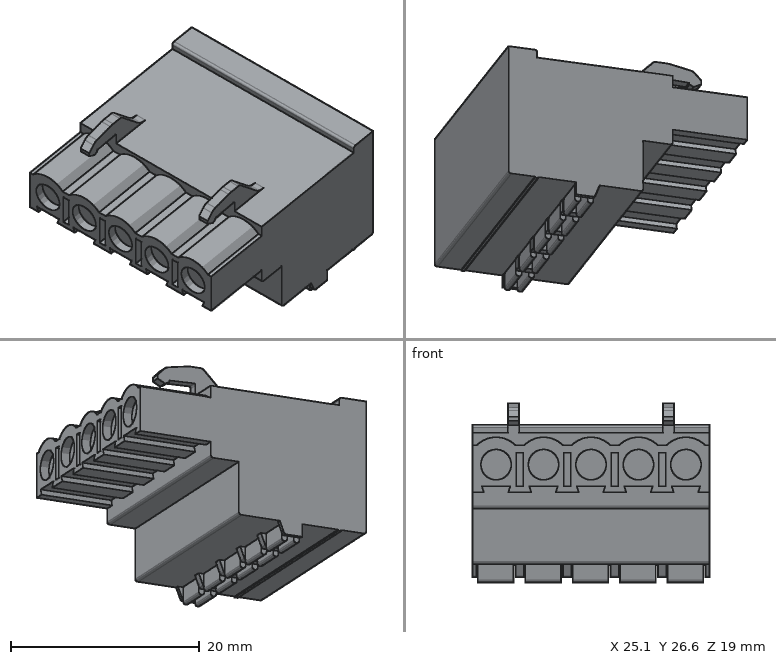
import cadquery as cq
import math

pole_count = 5
width = 25.1
pitch = width / pole_count
depth = 26.6

body_front = 8.3
lower_front = 11.6
body_top = 13.89
step_height = 5.88
rib_front = 23.4
rib_top = 14.75
edge_radius = 0.3
bead_y = 23.45
bead_width = 0.37
bead_height = 0.1

nozzle_bottom = 7.63
nozzle_shoulder = 12.58
hole_height = 10.53
hole_diameter = 3.22
hole_depth = 1.0
barrel_radius = 2.9
slot_width = 0.75
slot_bottom = 8.27
slot_top = 11.8
groove_mouth_width = 2.6
groove_root_width = 3.03

latch_width = 1.2
latch_inset = 4.35
latch_top = 17.05
latch_foot_y = 12.32
latch_foot_radius = 1.85
latch_crest_radius = 0.53
arm_bend_radius = 2.65
latch_arm_bottom = 15.25
latch_throat_radius = 0.19
latch_nose_y = 3.88
latch_nose_bottom = 15.15
latch_nose_top = 15.6
arm_bend_y = 7.58
hook_bend = (4.81, 16.55)
hook_bend_radius = 1.06
barb = [(5.27, 15.14), (5.21, 14.95), (4.73, 14.7)]

foot_back = 19.07
rib_foot_width = 0.9
rib_foot_height = 1.4
rib_foot_top_front = 16.4
rib_foot_bottom_front = 16.97
tab_width = 3.8
tab_offset = -0.05
tab_height = 1.95
tab_front = 16.97
tab_back = 19.02
prong_thickness = 0.65
prong_radius = 0.3


def side_plate(outline, x_start, x_length):
    """Extrude a closed outline of (Y, Z) points along +X."""
    plate = cq.Workplane("YZ").polyline(outline).close().extrude(x_length)
    return plate.translate((x_start, 0, 0))


def block(x_range, y_range, z_range):
    """Box between the given limits on each axis."""
    spans = [limits[1] - limits[0] for limits in (x_range, y_range, z_range)]
    corner = (x_range[0], y_range[0], z_range[0])
    return cq.Workplane("XY").box(*spans, centered=False).translate(corner)


def pole_centre(index):
    return (index + 0.5) * pitch


def edge_at(y, z):
    """Selector for the edge along X passing through (Y, Z)."""
    margin = 0.03
    return cq.selectors.BoxSelector((0, y - margin, z - margin), (width, y + margin, z + margin))


def make_housing():
    outline = [
        (lower_front, 0),
        (depth, 0),
        (depth, rib_top),
        (rib_front, rib_top),
        (rib_front, body_top),
        (body_front, body_top),
        (body_front, step_height),
        (lower_front, step_height),
    ]
    housing = side_plate(outline, 0, width)
    rounded = [(lower_front, 0), (depth, 0), (rib_front, rib_top), (body_front, step_height)]
    for y, z in rounded:
        housing = housing.edges(edge_at(y, z)).fillet(edge_radius)
    bead_start = bead_y - bead_width / 2
    bead = block((0, width), (bead_start, bead_start + bead_width), (-bead_height, edge_radius))
    return housing.union(bead)


def make_nozzles():
    nozzles = block((0, width), (0, body_front), (nozzle_bottom, nozzle_shoulder))
    for index in range(pole_count):
        barrel = (
            cq.Workplane("XZ")
            .center(pole_centre(index), hole_height)
            .circle(barrel_radius)
            .extrude(-body_front)
        )
        above_shoulder = block(
            (index * pitch, (index + 1) * pitch),
            (0, body_front),
            (nozzle_shoulder, nozzle_shoulder + barrel_radius),
        )
        nozzles = nozzles.union(barrel.intersect(above_shoulder))
    for index in range(pole_count):
        x = pole_centre(index)
        hole = cq.Workplane("XZ").center(x, hole_height).circle(hole_diameter / 2).extrude(-hole_depth)
        groove = (
            cq.Workplane("XZ")
            .polyline([
                (x - groove_mouth_width / 2, nozzle_bottom),
                (x + groove_mouth_width / 2, nozzle_bottom),
                (x + groove_root_width / 2, slot_bottom),
                (x - groove_root_width / 2, slot_bottom),
            ])
            .close()
            .extrude(-body_front)
        )
        nozzles = nozzles.cut(hole).cut(groove)
    for index in range(1, pole_count):
        left = index * pitch - slot_width / 2
        nozzles = nozzles.cut(block((left, left + slot_width), (0, body_front), (slot_bottom, slot_top)))
    return nozzles


def make_latch(x_centre):
    ramp_rise = latch_top - body_top
    crest_y = latch_foot_y - ramp_rise
    outline = [
        (body_front, body_top),
        (body_front, latch_arm_bottom),
        *barb,
        (latch_nose_y, latch_nose_bottom),
        (latch_nose_y, latch_nose_top),
        hook_bend,
        (arm_bend_y, latch_top),
        (crest_y, latch_top),
        (latch_foot_y, body_top),
    ]
    x_start = x_centre - latch_width / 2
    latch = side_plate(outline, x_start, latch_width)
    latch = latch.edges(edge_at(crest_y, latch_top)).fillet(latch_crest_radius)
    latch = latch.edges(edge_at(arm_bend_y, latch_top)).fillet(arm_bend_radius)
    latch = latch.edges(edge_at(*hook_bend)).fillet(hook_bend_radius)
    throat = edge_at(body_front, latch_arm_bottom)
    latch = latch.edges(throat).fillet(latch_throat_radius)

    ramp_angle = math.radians(45)
    half_angle = ramp_angle / 2
    tangent_length = latch_foot_radius * math.tan(half_angle)
    diagonal = tangent_length * math.cos(ramp_angle)
    arc_centre = (latch_foot_y + tangent_length, body_top + latch_foot_radius)
    arc_middle = (
        arc_centre[0] - latch_foot_radius * math.sin(half_angle),
        arc_centre[1] - latch_foot_radius * math.cos(half_angle),
    )
    runout = (
        cq.Workplane("YZ")
        .moveTo(latch_foot_y, body_top)
        .lineTo(latch_foot_y + tangent_length, body_top)
        .threePointArc(arc_middle, (latch_foot_y - diagonal, body_top + diagonal))
        .close()
        .extrude(latch_width)
        .translate((x_start, 0, 0))
    )
    return latch.union(runout)


def make_rib_foot(x_start, x_end):
    """Solid foot with a sloping front, on a boundary between poles."""
    outline = [
        (rib_foot_top_front, 0),
        (rib_foot_bottom_front, -rib_foot_height),
        (foot_back, -rib_foot_height),
        (foot_back, 0),
    ]
    foot = side_plate(outline, x_start, x_end - x_start)
    return foot.edges(edge_at(rib_foot_bottom_front, -rib_foot_height)).fillet(edge_radius)


def make_tab(x_centre):
    """Pair of round-ended prongs, one behind the other, under one pole."""
    x_range = (x_centre - tab_width / 2, x_centre + tab_width / 2)
    prongs = cq.Workplane("XY")
    for y in (tab_front, tab_back - prong_thickness):
        prong = block(x_range, (y, y + prong_thickness), (-tab_height, 0))
        prongs = prongs.union(prong.faces("<Z").edges("|X").fillet(prong_radius))
    return prongs


result = make_housing().union(make_nozzles())
for latch_x in (latch_inset, width - latch_inset):
    result = result.union(make_latch(latch_x))
for boundary in range(pole_count + 1):
    foot_x = boundary * pitch
    foot_start = max(0, foot_x - rib_foot_width / 2)
    foot_end = min(width, foot_x + rib_foot_width / 2)
    result = result.union(make_rib_foot(foot_start, foot_end))
for pole in range(pole_count):
    result = result.union(make_tab(pole_centre(pole) + tab_offset))